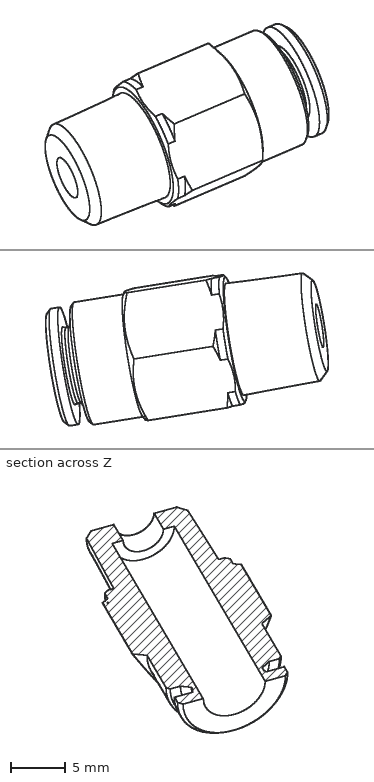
import cadquery as cq
import math

total_length = 24.85

thread_base_radius = 10.5 / 2
thread_tip_radius = 10.13 / 2
thread_tip_chamfer = 0.8
thread_length = 7.97

across_flats = 12.0
seat_face_radius = 11.67 / 2
seat_radius = 12.55 / 2
seat_edge_height = 0.32
seat_length = 1.05
hex_chamfer_slope = math.tan(math.radians(30))
hex_end = 17.5

body_radius = 11.5 / 2
body_chamfer = 0.3
body_end = 22.5

collar_radius = 11.0 / 2
collar_chamfer = 0.4
collar_thickness = 1.22
neck_radius = 7.1 / 2
neck_flare_height = 0.3
neck_flare = 0.1
neck_cone_radius = 8.87 / 2
neck_cone_height = 0.52

flow_bore_radius = 4.0 / 2
tube_bore_radius = 6.15 / 2
tube_bore_depth = 22.48

across_corners = across_flats / math.cos(math.radians(30))
corner_radius = across_corners / 2
seat_end = thread_length + seat_length
collar_start = total_length - collar_thickness


def revolve_profile(points):
    """Revolve a closed (radius, y) outline about the Y axis."""
    return cq.Workplane("XY").polyline(points).close().revolve(360, (0, 0, 0), (0, 1, 0))


def make_thread():
    return revolve_profile([
        (0, 0),
        (thread_tip_radius - thread_tip_chamfer, 0),
        (thread_tip_radius, thread_tip_chamfer),
        (thread_base_radius, thread_length),
        (0, thread_length),
    ])


def make_hexagon():
    """Hexagonal prism trimmed by a turned envelope, which cuts both ends of its corners."""
    prism = (
        cq.Workplane("XZ", origin=(0, thread_length, 0))
        .polygon(6, across_corners)
        .extrude(-(hex_end - thread_length))
    )
    seat_cone_height = (corner_radius - seat_radius) * hex_chamfer_slope
    rear_cone_height = (corner_radius - body_radius) * hex_chamfer_slope
    envelope = revolve_profile([
        (0, thread_length),
        (seat_face_radius, thread_length),
        (seat_radius, thread_length + seat_edge_height),
        (seat_radius, seat_end),
        (corner_radius, seat_end + seat_cone_height),
        (corner_radius, hex_end - rear_cone_height),
        (body_radius, hex_end),
        (0, hex_end),
    ])
    return prism.intersect(envelope)


def make_body_and_collar():
    return revolve_profile([
        (0, hex_end),
        (body_radius, hex_end),
        (body_radius, body_end - body_chamfer),
        (body_radius - body_chamfer, body_end),
        (neck_cone_radius, body_end),
        (neck_radius, body_end + neck_cone_height),
        (neck_radius, collar_start - neck_flare_height),
        (neck_radius + neck_flare, collar_start),
        (collar_radius, collar_start),
        (collar_radius, total_length - collar_chamfer),
        (collar_radius - collar_chamfer, total_length),
        (0, total_length),
    ])


def make_passage():
    """Flow bore from the thread end, opening into the wider tube bore."""
    tube_bore_start = total_length - tube_bore_depth
    return revolve_profile([
        (0, 0),
        (flow_bore_radius, 0),
        (flow_bore_radius, tube_bore_start),
        (tube_bore_radius, tube_bore_start),
        (tube_bore_radius, total_length),
        (0, total_length),
    ])


result = make_thread().union(make_hexagon()).union(make_body_and_collar()).cut(make_passage())